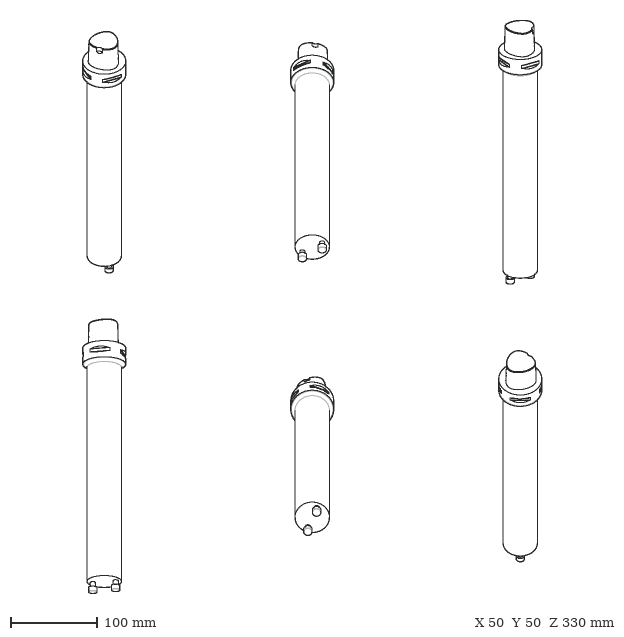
import cadquery as cq
import math

SHANK_HEIGHT = 30.0
FLANGE_HEIGHT = 20.0
SCREW_END = 300.0
SCREW_PROJECTION = 12.0
BODY_END = SCREW_END - SCREW_PROJECTION

SHANK_WIDTH = 35.2
LOBE_ECCENTRICITY = 1.12
TAPER_RATIO = 1 / 20
LEAD_IN_HEIGHT = 1.0
LEAD_IN_INSET = 0.6
PROFILE_POINTS = 36

NOTCH_RADIUS = 4.5
NOTCH_AXIS_Y = -18.3
NOTCH_STRAIGHT_HEIGHT = 5.5

FLANGE_DIAMETER = 50.0
BODY_DIAMETER = 40.0
NECK_FILLET = 4.0

GROOVE_COUNT = 4
FIRST_GROOVE_ANGLE = 45.0
GROOVE_FLOOR_DISTANCE = 22.0
GROOVE_CENTRE_Z = -FLANGE_HEIGHT / 2
GROOVE_FLARE_DISTANCE = 22.8
GROOVE_HEIGHT = 3.8
GROOVE_FLARE_ANGLE = 35.0

SCREW_OFFSET = 9.6
SCREW_SHANK_DIAMETER = 6.0
SCREW_HEAD_DIAMETER = 10.0
SCREW_HEAD_HEIGHT = 6.0
SCREW_HEAD_FILLET = 0.4


def lobed_wire(width, z):
    """Closed constant-width curve with one lobe pointing toward +Y."""
    points = []
    for index in range(PROFILE_POINTS):
        angle = 2 * math.pi * index / PROFILE_POINTS
        along = (
            width / 2 * math.cos(angle)
            - 2 * LOBE_ECCENTRICITY * math.cos(2 * angle)
            + LOBE_ECCENTRICITY * math.cos(4 * angle)
        )
        across = (
            width / 2 * math.sin(angle)
            + 2 * LOBE_ECCENTRICITY * math.sin(2 * angle)
            + LOBE_ECCENTRICITY * math.sin(4 * angle)
        )
        points.append(cq.Vector(across, -along, z))
    return cq.Wire.assembleEdges([cq.Edge.makeSpline(points, periodic=True)])


def make_shank():
    lead_in_z = SHANK_HEIGHT - LEAD_IN_HEIGHT
    lead_in_width = SHANK_WIDTH - TAPER_RATIO * lead_in_z
    tip_width = lead_in_width - 2 * LEAD_IN_INSET
    base = lobed_wire(SHANK_WIDTH, 0)
    shoulder = lobed_wire(lead_in_width, lead_in_z)
    tip = lobed_wire(tip_width, SHANK_HEIGHT)
    taper = cq.Solid.makeLoft([base, shoulder], True)
    lead_in = cq.Solid.makeLoft([shoulder, tip], True)
    return cq.Workplane(taper).union(cq.Workplane(lead_in))


def make_notch():
    """Cutter for the notch: a cylinder open at the top with a pointed lower end."""
    cone_start = SHANK_HEIGHT - NOTCH_STRAIGHT_HEIGHT
    return (
        cq.Workplane("XZ", origin=(0, NOTCH_AXIS_Y, 0))
        .moveTo(0, SHANK_HEIGHT)
        .lineTo(NOTCH_RADIUS, SHANK_HEIGHT)
        .lineTo(NOTCH_RADIUS, cone_start)
        .lineTo(0, cone_start - NOTCH_RADIUS)
        .close()
        .revolve(360, (0, 0, 0), (0, 1, 0))
    )


def make_flange_and_body():
    flange_radius = FLANGE_DIAMETER / 2
    body_radius = BODY_DIAMETER / 2
    return (
        cq.Workplane("XZ")
        .moveTo(0, 0)
        .lineTo(flange_radius, 0)
        .lineTo(flange_radius, -FLANGE_HEIGHT)
        .lineTo(body_radius + NECK_FILLET, -FLANGE_HEIGHT)
        .radiusArc((body_radius, -FLANGE_HEIGHT - NECK_FILLET), -NECK_FILLET)
        .lineTo(body_radius, -BODY_END)
        .lineTo(0, -BODY_END)
        .close()
        .revolve(360, (0, 0, 0), (0, 1, 0))
    )


def make_groove(direction):
    """Cutter for one groove whose floor faces the given direction in degrees."""
    rim = FLANGE_DIAMETER / 2
    flare = (rim - GROOVE_FLARE_DISTANCE) * math.tan(math.radians(GROOVE_FLARE_ANGLE))
    slot_half = GROOVE_HEIGHT / 2
    mouth_half = slot_half + flare
    return (
        cq.Workplane("XZ")
        .moveTo(GROOVE_FLOOR_DISTANCE, GROOVE_CENTRE_Z - slot_half)
        .lineTo(GROOVE_FLARE_DISTANCE, GROOVE_CENTRE_Z - slot_half)
        .lineTo(rim, GROOVE_CENTRE_Z - mouth_half)
        .lineTo(rim, GROOVE_CENTRE_Z + mouth_half)
        .lineTo(GROOVE_FLARE_DISTANCE, GROOVE_CENTRE_Z + slot_half)
        .lineTo(GROOVE_FLOOR_DISTANCE, GROOVE_CENTRE_Z + slot_half)
        .close()
        .extrude(rim, both=True)
        .rotate((0, 0, 0), (0, 0, 1), direction)
    )


def make_screw(x, y):
    shank = (
        cq.Workplane("XY", origin=(x, y, -BODY_END))
        .circle(SCREW_SHANK_DIAMETER / 2)
        .extrude(-SCREW_PROJECTION)
    )
    head = (
        cq.Workplane("XY", origin=(x, y, -SCREW_END))
        .circle(SCREW_HEAD_DIAMETER / 2)
        .extrude(SCREW_HEAD_HEIGHT)
        .faces("<Z")
        .edges()
        .fillet(SCREW_HEAD_FILLET)
    )
    return shank.union(head)


result = make_flange_and_body().union(make_shank().cut(make_notch()))

for groove_index in range(GROOVE_COUNT):
    groove_direction = FIRST_GROOVE_ANGLE + groove_index * 360 / GROOVE_COUNT
    result = result.cut(make_groove(groove_direction))

for side in (1, -1):
    result = result.union(make_screw(side * SCREW_OFFSET, -side * SCREW_OFFSET))